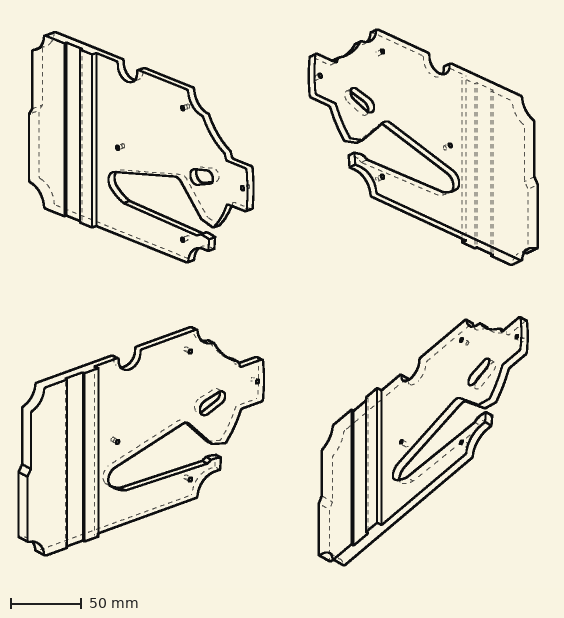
import cadquery as cq
import math

length = 220.0
thickness = 10.0
height = 132.0

thin_depth = 4.0
groove_depth = 2.0
groove_left = 36.3
groove_right = 52.4
thick_end = 64.9

jog_depth = 3.3
jog_bottom = 67.0
jog_top = 72.1

scallop_radius = 15.5
scallop_x = 174.5
notch_radius = 10.0
notch_x = 96.8
notch_z = 129.5
edge_rounding = 1.8

nose_bottom = 57.0
nose_top = 90.0
nose_root = 198.2
nose_root_below = 199.0
nose_shoulder = 218.9
nose_middle = (nose_bottom + nose_top) / 2
nose_rounding = 2.0

slot_left = (167.0, 68.0)
slot_left_radius = 5.7
slot_right = (179.5, 71.7)
slot_right_radius = 4.8

pin_diameter = 3.0
pin_skin = 0.5
pin_edge_distance = 15.8
pin_x = 152.9
pin_places = [
    (pin_x, pin_edge_distance),
    (pin_x, height - pin_edge_distance),
    (86.2, height / 2),
    (214.2, nose_middle),
]

shoulder = (173.8, 117.2)
brow = (196.5, 94.8)
jaw_heel = (184.8, 34.5)
jaw_tip = (172.5, 37.6)
lip_toe = (179.7, scallop_radius)
mouth_crest = (149.0, 62.7)
mouth_crest_rounding = 6.5
lip_rounding = 1.5

forehead_bulge = (183.0, 104.3)
jaw_bulge = (193.1, 45.3)

roof_end = (83.0, 46.6)
throat_back = (77.5, 39.4)
throat_low = (80.7, 32.5)
floor_bend = (86.2, 28.8)
floor_start = (92.8, 26.0)
floor_end = (168.0, 23.8)
lip_start = (171.5, 25.7)
lip_top = (174.6, 25.7)
lip_corner = (180.5, 24.6)


def extrude_through(sketch):
    """Extrude a closed sketch on the XZ plane through the full thickness."""
    return sketch.close().extrude(-thickness)


def disc(x, z, radius):
    return cq.Workplane("XZ").center(x, z).circle(radius).extrude(-thickness)


def make_blank():
    """Plate with its head, open mouth and nose, corners still sharp."""
    sketch = (
        cq.Workplane("XZ")
        .moveTo(0, 0)
        .lineTo(0, jog_bottom)
        .lineTo(jog_depth, jog_top)
        .lineTo(jog_depth, height)
        .lineTo(scallop_x, height)
        .lineTo(*shoulder)
        .threePointArc(forehead_bulge, brow)
        .lineTo(nose_root, nose_top)
        .lineTo(nose_shoulder, nose_top)
        .threePointArc((length, nose_middle), (nose_shoulder, nose_bottom))
        .lineTo(nose_root_below, nose_bottom)
        .threePointArc(jaw_bulge, jaw_heel)
        .lineTo(*jaw_tip)
        .lineTo(*mouth_crest)
        .lineTo(*roof_end)
        .threePointArc(throat_back, throat_low)
        .threePointArc(floor_bend, floor_start)
        .lineTo(*floor_end)
        .lineTo(*lip_start)
        .lineTo(*lip_top)
        .lineTo(*lip_corner)
        .lineTo(*lip_toe)
        .lineTo(scallop_x, scallop_radius)
        .lineTo(scallop_x, 0)
    )
    return extrude_through(sketch)


def cut_edge_rounds(plate):
    for x, z in [(0, 0), (0, height), (scallop_x, 0), (scallop_x, height)]:
        plate = plate.cut(disc(x, z, scallop_radius))
    return plate.cut(disc(notch_x, notch_z, notch_radius))


def round_corner(plate, corner, radius):
    x, z = corner
    selector = cq.selectors.NearestToPointSelector((x, thickness / 2, z))
    return plate.edges("|Y").edges(selector).fillet(radius)


def round_corners(plate):
    notch_half_width = math.sqrt(notch_radius**2 - (height - notch_z) ** 2)
    jog_scallop_z = height - math.sqrt(scallop_radius**2 - jog_depth**2)
    edge_corners = [
        (0, scallop_radius),
        (scallop_radius, 0),
        (jog_depth, jog_scallop_z),
        (scallop_radius, height),
        (notch_x - notch_half_width, height),
        (notch_x + notch_half_width, height),
        (scallop_x - scallop_radius, height),
        (scallop_x - scallop_radius, 0),
        brow,
        (nose_root, nose_top),
        (nose_root_below, nose_bottom),
    ]
    for corner in edge_corners:
        plate = round_corner(plate, corner, edge_rounding)
    for z in (nose_bottom, nose_top):
        plate = round_corner(plate, (nose_shoulder, z), nose_rounding)
    for corner in (shoulder, jaw_heel, jaw_tip):
        plate = round_corner(plate, corner, lip_rounding)
    return round_corner(plate, mouth_crest, mouth_crest_rounding)


def make_tapered_slot():
    """Two round ends of different radius joined by their common tangents."""
    run = slot_right[0] - slot_left[0]
    rise = slot_right[1] - slot_left[1]
    axis_angle = math.atan2(rise, run)
    spread = math.acos((slot_left_radius - slot_right_radius) / math.hypot(run, rise))

    def on_end(centre, radius, angle):
        return (centre[0] + radius * math.cos(angle), centre[1] + radius * math.sin(angle))

    upper = axis_angle + spread
    lower = axis_angle - spread
    sketch = (
        cq.Workplane("XZ")
        .moveTo(*on_end(slot_left, slot_left_radius, upper))
        .lineTo(*on_end(slot_right, slot_right_radius, upper))
        .threePointArc(
            on_end(slot_right, slot_right_radius, axis_angle),
            on_end(slot_right, slot_right_radius, lower),
        )
        .lineTo(*on_end(slot_left, slot_left_radius, lower))
        .threePointArc(
            on_end(slot_left, slot_left_radius, axis_angle + math.pi),
            on_end(slot_left, slot_left_radius, upper),
        )
    )
    return extrude_through(sketch)


def front_relief(x_start, x_end, depth):
    """Full-height block that lowers the front face between two X places."""
    return cq.Workplane("XY").box(x_end - x_start, depth, height, centered=False).translate((x_start, 0, 0))


def make_pins():
    face = cq.Workplane("XZ", origin=(0, thickness, 0))
    pin_depth = thickness - thin_depth - pin_skin
    return face.pushPoints(pin_places).circle(pin_diameter / 2).extrude(pin_depth)


plate = round_corners(cut_edge_rounds(make_blank()))
plate = plate.cut(make_tapered_slot())
plate = plate.cut(front_relief(groove_left, groove_right, groove_depth))
plate = plate.cut(front_relief(thick_end, length, thin_depth))
result = plate.cut(make_pins())